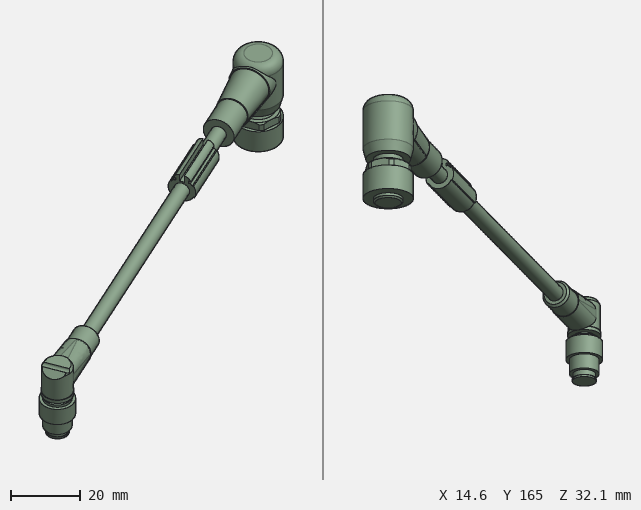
import cadquery as cq
import math


OVERALL_LENGTH = 165.0
CABLE_DIAMETER = 4.8

LARGE_RADIUS = 7.3
LARGE_TOP = 7.1
LARGE_CROWN_FILLET = 3.1
LARGE_TAPER_TOP = -8.1
LARGE_HEAD_BOTTOM = -11.2
LARGE_HEAD_FOOT_RADIUS = 6.5
LARGE_NECK_RADIUS = 4.3
LARGE_NECK_FOOT_RADIUS = 5.0
LARGE_NECK_FLARE_TOP = -12.5
DETENT_RADIUS = 0.8
DETENT_REACH = 5.3
LARGE_HEX_TOP = -13.5
LARGE_HEX_FLATS = 12.4
LARGE_HEX_TRIM_RADIUS = 6.8
LARGE_HEX_CHAMFER = 0.5
LARGE_NUT_TOP = -16.2
LARGE_NUT_BOTTOM = -23.6
LARGE_TIP_BOTTOM = -25.0
LARGE_TIP_RADIUS = 4.3
LARGE_TIP_CHAMFER = 0.5

BOOT_START = -2.1
BOOT_START_RADIUS = 6.8
BOOT_END_RADIUS = 5.3
BOOT_END = -20.0
BOOT_END_CHAMFER = 0.5
GRIP_START = -6.8
GRIP_BOTTOM = -3.1
GRIP_DEPTH = 0.3
LARGE_SLEEVE_RADIUS = 4.8
LARGE_SLEEVE_END = -30.0

CLIP_START = -40.1
CLIP_LENGTH = 17.8
CLIP_RADIUS = 4.0
CLIP_CHEEK_RADIUS = 4.3
CLIP_CHEEK_BOTTOM = -1.8
CLIP_CHEEK_TOP = 2.3
CLIP_SHOULDER = 3.0
LIP_BOTTOM = 3.6
LIP_TOP = 5.3
LIP_INNER = 0.75
LIP_WIDTH = 2.0
LIP_OUTER = LIP_INNER + LIP_WIDTH
LIP_NECK_OUTER = 2.0
LIP_CROWN_RADIUS = 2.1

SMALL_NUT_RADIUS = 5.3
SMALL_AXIS_Y = LARGE_RADIUS - OVERALL_LENGTH + SMALL_NUT_RADIUS
SMALL_HEAD_RADIUS = 4.6
SMALL_HEAD_EDGE = 5.3
SMALL_TOP = 6.5
SMALL_CROWN_RADIUS = 4.0
SMALL_FLANGE_RADIUS = 4.8
SMALL_FLANGE_TOP = -3.1
SMALL_FLANGE_BOTTOM = -4.3
SMALL_NECK_RADIUS = 3.0
SMALL_COLLAR_TOP = -5.3
SMALL_COLLAR_RADIUS = 4.3
SMALL_NUT_TOP = -6.1
SMALL_NUT_BOTTOM = -11.7
SMALL_BARREL_BOTTOM = -16.2
SMALL_TIP_RADIUS = 3.5
SMALL_TIP_GROOVE_RADIUS = 3.3
SMALL_TIP_RIM_TOP = -17.8
SMALL_TIP_BOTTOM = -18.5
CROWN_SLOT_OFFSET = -1.5
CROWN_SLOT_RADIUS = 0.8
CROWN_SLOPE_FOOT = 4.3

SMALL_SLEEVE_START = -130.0
SMALL_SLEEVE_RADIUS = 4.1
SMALL_SLEEVE_CHAMFER = 0.7
SMALL_BODY_START = -137.5
SMALL_BODY_HALF_WIDTH = 4.3
SMALL_BODY_END = SMALL_AXIS_Y + 1.0
BODY_START_TOP = 4.5
BODY_START_CORNER = 4.1
BODY_END_TOP = 5.5
BODY_END_CORNER = 2.6


def turned(steps, axis_y=0):
    """Solid of revolution about a vertical axis from (radius, height) steps."""
    bottom, top = steps[-1][1], steps[0][1]
    outline = [(0, top)] + steps + [(0, bottom)]
    profile = cq.Workplane("XZ", origin=(0, axis_y, 0)).polyline(outline).close()
    return profile.revolve(360, (0, 0, 0), (0, 1, 0))


def along_cable(start_y):
    """Workplane across the cable; extrusions run toward the small connector."""
    return cq.Workplane("XZ", origin=(0, start_y, 0))


def rod(start_y, end_y, radius):
    return along_cable(start_y).circle(radius).extrude(start_y - end_y)


def cone(start_y, end_y, start_radius, end_radius):
    """Cone whose axis is the cable axis."""
    outline = [(0, start_y), (start_radius, start_y), (end_radius, end_y), (0, end_y)]
    return cq.Workplane("XY").polyline(outline).close().revolve(360, (0, 0, 0), (0, 1, 0))


def block(x_min, x_max, y_min, y_max, z_min, z_max):
    size = (x_max - x_min, y_max - y_min, z_max - z_min)
    return cq.Workplane("XY").box(*size, centered=False).translate((x_min, y_min, z_min))


def large_head():
    head = turned([
        (LARGE_RADIUS, LARGE_TOP),
        (LARGE_RADIUS, LARGE_TAPER_TOP),
        (LARGE_HEAD_FOOT_RADIUS, LARGE_HEAD_BOTTOM),
    ])
    return head.faces(">Z").edges().fillet(LARGE_CROWN_FILLET)


def large_coupling():
    """Flared neck with detent, hexagon with trimmed corners, coupling nut and tip."""
    turned_parts = turned([
        (LARGE_NECK_RADIUS, LARGE_HEAD_BOTTOM),
        (LARGE_NECK_RADIUS, LARGE_NECK_FLARE_TOP),
        (LARGE_NECK_FOOT_RADIUS, LARGE_HEX_TOP),
        (LARGE_NECK_FOOT_RADIUS, LARGE_NUT_TOP),
        (LARGE_RADIUS, LARGE_NUT_TOP),
        (LARGE_RADIUS, LARGE_NUT_BOTTOM),
        (LARGE_TIP_RADIUS, LARGE_NUT_BOTTOM),
        (LARGE_TIP_RADIUS, LARGE_TIP_BOTTOM + LARGE_TIP_CHAMFER),
        (LARGE_TIP_RADIUS - LARGE_TIP_CHAMFER, LARGE_TIP_BOTTOM),
    ])
    corner_diameter = LARGE_HEX_FLATS / math.cos(math.pi / 6)
    hex_height = LARGE_HEX_TOP - LARGE_NUT_TOP
    hex_base = cq.Workplane("XY", origin=(0, 0, LARGE_NUT_TOP))
    hexagon = hex_base.polygon(6, corner_diameter).extrude(hex_height)
    trim = turned([
        (LARGE_HEX_TRIM_RADIUS - LARGE_HEX_CHAMFER, LARGE_HEX_TOP),
        (LARGE_HEX_TRIM_RADIUS, LARGE_HEX_TOP - LARGE_HEX_CHAMFER),
        (LARGE_HEX_TRIM_RADIUS, LARGE_NUT_TOP),
    ])
    detent = cq.Workplane("YZ").center(0, LARGE_HEX_TOP).circle(DETENT_RADIUS).extrude(-DETENT_REACH)
    return turned_parts.union(hexagon.intersect(trim)).union(detent)


def boot():
    """Cone leaving the large head, with a shallow grip over its upper side."""
    full = cone(BOOT_START, BOOT_END, BOOT_START_RADIUS, BOOT_END_RADIUS)
    full = full.faces("<Y").edges().chamfer(BOOT_END_CHAMFER)
    core = cone(BOOT_START, BOOT_END, BOOT_START_RADIUS - GRIP_DEPTH, BOOT_END_RADIUS - GRIP_DEPTH)
    reach = BOOT_START_RADIUS
    grip = block(-reach, reach, BOOT_END, GRIP_START, GRIP_BOTTOM, reach)
    return full.cut(grip.cut(core))


def marker_clip():
    clip_end = CLIP_START - CLIP_LENGTH
    reach = CLIP_CHEEK_RADIUS
    below_shoulder = block(-reach, reach, clip_end, CLIP_START, -reach, CLIP_SHOULDER)
    beside_cable = block(-reach, reach, clip_end, CLIP_START, CLIP_CHEEK_BOTTOM, CLIP_CHEEK_TOP)
    clip = rod(CLIP_START, clip_end, CLIP_RADIUS).intersect(below_shoulder)
    clip = clip.union(rod(CLIP_START, clip_end, CLIP_CHEEK_RADIUS).intersect(beside_cable))
    lip = (
        along_cable(CLIP_START)
        .moveTo(LIP_INNER, 0)
        .lineTo(LIP_INNER, LIP_TOP)
        .radiusArc((LIP_OUTER, LIP_BOTTOM), LIP_CROWN_RADIUS)
        .lineTo(LIP_NECK_OUTER, LIP_BOTTOM)
        .lineTo(LIP_NECK_OUTER, 0)
        .close()
        .extrude(CLIP_LENGTH)
    )
    return clip.union(lip).union(lip.mirror("YZ"))


def body_section(start_y, top, corner):
    """Upper half outline of the small body, with rounded top corners."""
    side = top - corner
    flat = SMALL_BODY_HALF_WIDTH - corner
    bulge = corner * math.sqrt(0.5)
    return (
        along_cable(start_y)
        .moveTo(-SMALL_BODY_HALF_WIDTH, 0)
        .lineTo(-SMALL_BODY_HALF_WIDTH, side)
        .threePointArc((-flat - bulge, side + bulge), (-flat, top))
        .lineTo(flat, top)
        .threePointArc((flat + bulge, side + bulge), (SMALL_BODY_HALF_WIDTH, side))
        .lineTo(SMALL_BODY_HALF_WIDTH, 0)
        .close()
        .val()
    )


def small_body():
    """Round sleeve and underside; the upper half grows squarer toward the head."""
    sleeve = rod(SMALL_SLEEVE_START, SMALL_BODY_START, SMALL_SLEEVE_RADIUS)
    sleeve = sleeve.faces(">Y").edges().chamfer(SMALL_SLEEVE_CHAMFER)
    underside = rod(SMALL_BODY_START, SMALL_BODY_END, SMALL_BODY_HALF_WIDTH)
    start = body_section(SMALL_BODY_START, BODY_START_TOP, BODY_START_CORNER)
    end = body_section(SMALL_BODY_END, BODY_END_TOP, BODY_END_CORNER)
    upper = cq.Workplane(cq.Solid.makeLoft([start, end], True))
    return sleeve.union(underside).union(upper)


def small_head():
    """Head with a crown that is slotted across X and slopes away beyond the slot."""
    head = turned([
        (SMALL_CROWN_RADIUS, SMALL_TOP),
        (SMALL_HEAD_RADIUS, SMALL_HEAD_EDGE),
        (SMALL_HEAD_RADIUS, SMALL_FLANGE_TOP),
        (SMALL_FLANGE_RADIUS, SMALL_FLANGE_TOP),
        (SMALL_FLANGE_RADIUS, SMALL_FLANGE_BOTTOM),
    ], SMALL_AXIS_Y)
    slot_y = SMALL_AXIS_Y + CROWN_SLOT_OFFSET
    reach = SMALL_HEAD_RADIUS
    across_head = cq.Workplane("YZ", origin=(-reach, 0, 0))
    slot = across_head.center(slot_y, SMALL_TOP).circle(CROWN_SLOT_RADIUS).extrude(2 * reach)
    edge_y = SMALL_AXIS_Y - reach
    slope = across_head.polyline([
        (slot_y, SMALL_TOP),
        (edge_y, CROWN_SLOPE_FOOT),
        (edge_y, SMALL_TOP),
    ]).close().extrude(2 * reach)
    return head.cut(slot).cut(slope)


def small_coupling():
    """Neck, collar, coupling nut, barrel and grooved tip."""
    return turned([
        (SMALL_NECK_RADIUS, SMALL_FLANGE_BOTTOM),
        (SMALL_NECK_RADIUS, SMALL_COLLAR_TOP),
        (SMALL_COLLAR_RADIUS, SMALL_COLLAR_TOP),
        (SMALL_COLLAR_RADIUS, SMALL_NUT_TOP),
        (SMALL_NUT_RADIUS, SMALL_NUT_TOP),
        (SMALL_NUT_RADIUS, SMALL_NUT_BOTTOM),
        (SMALL_COLLAR_RADIUS, SMALL_NUT_BOTTOM),
        (SMALL_COLLAR_RADIUS, SMALL_BARREL_BOTTOM),
        (SMALL_TIP_GROOVE_RADIUS, SMALL_BARREL_BOTTOM),
        (SMALL_TIP_GROOVE_RADIUS, SMALL_TIP_RIM_TOP),
        (SMALL_TIP_RADIUS, SMALL_TIP_RIM_TOP),
        (SMALL_TIP_RADIUS, SMALL_TIP_BOTTOM),
    ], SMALL_AXIS_Y)


cable = rod(0, SMALL_AXIS_Y, CABLE_DIAMETER / 2)
large_sleeve = rod(0, LARGE_SLEEVE_END, LARGE_SLEEVE_RADIUS)
large_connector = large_head().union(large_coupling()).union(boot()).union(large_sleeve)
small_connector = small_head().union(small_coupling()).union(small_body())

result = cable.union(large_connector).union(marker_clip()).union(small_connector)